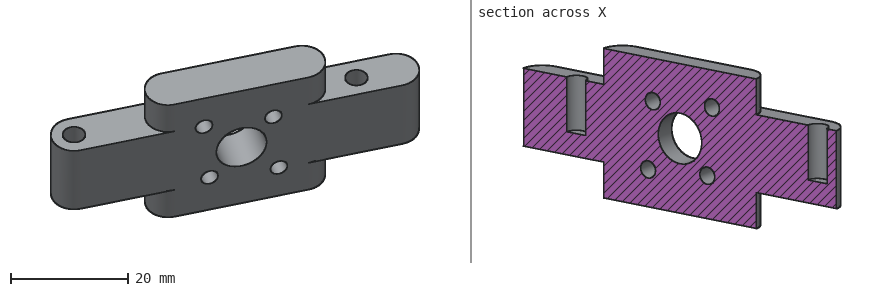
import cadquery as cq

thickness = 7.95
arm_length = 65.1
arm_height = 13.9
block_length = 31.75
block_height = 26.7

bore_diameter = 8.9
screw_diameter = 3.0
near_screw_offset = 5.65
far_screw_offset = 6.65
end_hole_diameter = 3.85
end_hole_spacing = 50.1
front_hole_y = -(arm_length - thickness) / 2
rear_hole_y = front_hole_y + end_hole_spacing
end_hole_depth = 9.75


def round_ended_bar(length, height):
    """Bar along Y with full-round ends, centred on the origin."""
    return cq.Workplane("XY").slot2D(length, thickness, 90).extrude(height / 2, both=True)


def cross_hole(diameter, y, z):
    """Cylinder along X that passes right through the thickness."""
    return cq.Workplane("YZ").center(y, z).circle(diameter / 2).extrude(thickness, both=True)


body = round_ended_bar(arm_length, arm_height).union(round_ended_bar(block_length, block_height))

body = body.cut(cross_hole(bore_diameter, 0, 0))
for side in (-1, 1):
    near = side * near_screw_offset
    far = side * far_screw_offset
    body = body.cut(cross_hole(screw_diameter, near, near))
    body = body.cut(cross_hole(screw_diameter, far, -far))

end_holes = (
    cq.Workplane("XY")
    .workplane(offset=arm_height / 2)
    .pushPoints([(0, front_hole_y), (0, rear_hole_y)])
    .circle(end_hole_diameter / 2)
    .extrude(-end_hole_depth)
)

result = body.cut(end_holes)